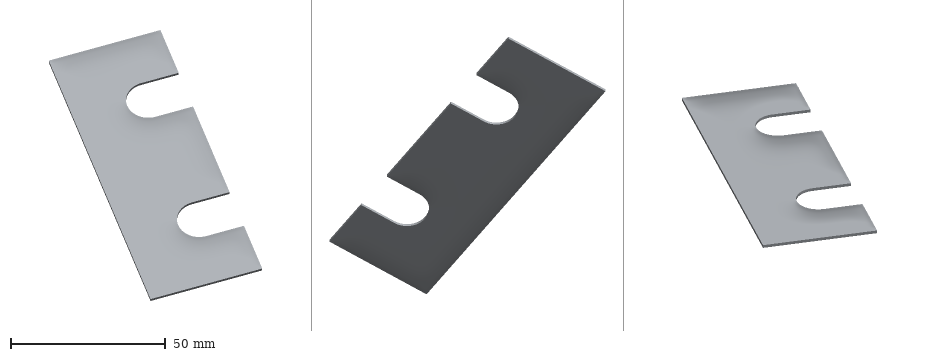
import cadquery as cq

length = 101.6
width = 38.1
thickness = 1.0

slot_width = 14.3
slot_depth = 20.0
slot_spacing = length / 2

slot_radius = slot_width / 2
back_edge = width / 2
arc_center_y = back_edge - slot_depth + slot_radius


def open_slot(center_x):
    """Cutter for one slot: straight sides ending in a half circle."""
    return (
        cq.Workplane("XY")
        .moveTo(center_x - slot_radius, back_edge)
        .lineTo(center_x - slot_radius, arc_center_y)
        .threePointArc(
            (center_x, back_edge - slot_depth),
            (center_x + slot_radius, arc_center_y),
        )
        .lineTo(center_x + slot_radius, back_edge)
        .close()
        .extrude(thickness)
    )


result = cq.Workplane("XY").box(length, width, thickness, centered=(True, True, False))
for side in (-1, 1):
    result = result.cut(open_slot(side * slot_spacing / 2))